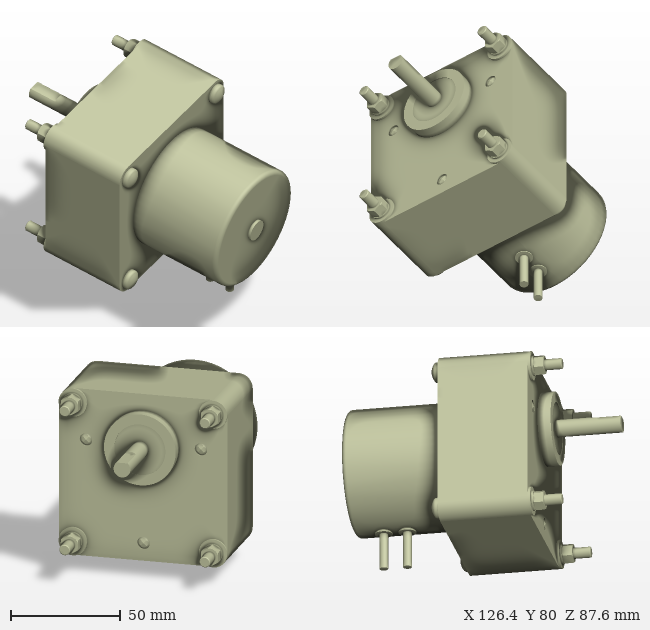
import cadquery as cq
import math


box_side = 80.0
box_depth = 42.0
bolt_offset = 33.3
box_corner_radius = box_side / 2 - bolt_offset
pad_diameter = 2 * box_corner_radius
pad_height = 1.1

shaft_z = 15.0
shaft_diameter = 8.0
shaft_length = 36.0
flat_length = 14.0
flat_depth = 1.0
flange_diameter = 34.0
flange_height = 6.1
recess_diameter = 24.3
recess_depth = 0.4

motor_diameter = 59.0
motor_length = 46.9
motor_edge_radius = 2.0
end_boss_diameter = 10.0
end_boss_height = 1.5

cable_diameter = 4.0
cable_distances = (22.0, 33.0)
cable_end_z = -47.6
grommet_diameter = 8.2
grommet_neck_diameter = 6.3
grommet_neck_z = -29.1
grommet_rim = 0.4
grommet_bottom_z = -30.6

bolt_diameter = 5.0
bolt_reach = 14.9
bolt_tip_chamfer = 0.4
washer_diameter = 9.4
washer_thickness = 0.9
nut_across_flats = 8.1
nut_thickness = 4.8
nut_face_diameter = 8.3
nut_chamfer = 0.4
head_diameter = 9.5
head_rim = 1.4
head_shoulder_height = 1.1
head_crown_diameter = 8.3
head_crown_height = 1.4

cover_screw_circle_radius = 31.5
cover_screw_angles = (30, 150, 270)
cover_screw_diameter = 6.0
cover_screw_top_diameter = 2.5
cover_screw_sink = 0.9
cover_screw_rise = 0.4
cover_screw_slope = 1 / 3


def rod(x_start, x_end, diameter, y=0.0, z=0.0):
    """Cylinder parallel to X."""
    return (
        cq.Workplane("YZ", origin=(x_start, y, z))
        .circle(diameter / 2)
        .extrude(x_end - x_start)
    )


def revolve_about_x(profile):
    """Turn a closed (x, radius) profile about the X axis."""
    return profile.close().revolve(360, (0, 0, 0), (1, 0, 0))


def rounded_block(x_start, x_end):
    """Block with the gearbox outline."""
    return (
        cq.Workplane("YZ", origin=(x_start, 0, 0))
        .rect(box_side, box_side)
        .extrude(x_end - x_start)
        .edges("|X")
        .fillet(box_corner_radius)
    )


def make_gearbox():
    """Gearbox block with round corner pads trimmed to its outline."""
    pads = (
        cq.Workplane("YZ", origin=(-pad_height, 0, 0))
        .rect(2 * bolt_offset, 2 * bolt_offset, forConstruction=True)
        .vertices()
        .circle(pad_diameter / 2)
        .extrude(pad_height)
    )
    trimmed_pads = pads.intersect(rounded_block(-pad_height, 0))
    return rounded_block(0, box_depth).union(trimmed_pads)


def make_output_shaft():
    """Recessed flange and the shaft with a flat on its +Z side."""
    flange = rod(-flange_height, 0, flange_diameter, z=shaft_z)
    recess = rod(-flange_height, recess_depth - flange_height, recess_diameter, z=shaft_z)
    shaft = rod(-shaft_length, 0, shaft_diameter, z=shaft_z)
    flat_cutter = cq.Workplane("XY").box(
        flat_length, shaft_diameter, shaft_diameter, centered=(False, True, False)
    ).translate((-shaft_length, 0, shaft_z + shaft_diameter / 2 - flat_depth))
    return flange.cut(recess).union(shaft.cut(flat_cutter))


def make_motor():
    """Motor can with a rounded rear edge and a small rear boss."""
    motor_end = box_depth + motor_length
    can = rod(box_depth, motor_end, motor_diameter).faces(">X").edges().fillet(motor_edge_radius)
    return can.union(rod(motor_end, motor_end + end_boss_height, end_boss_diameter))


def make_cable(distance):
    """Cable leaving the underside of the motor through a flared grommet."""
    x = box_depth + distance
    cable = (
        cq.Workplane("XY", origin=(x, 0, cable_end_z))
        .circle(cable_diameter / 2)
        .extrude(-cable_end_z)
    )
    grommet = (
        cq.Workplane("XZ")
        .moveTo(0, grommet_neck_z)
        .lineTo(grommet_neck_diameter / 2, grommet_neck_z)
        .lineTo(grommet_diameter / 2, grommet_bottom_z + grommet_rim)
        .lineTo(grommet_diameter / 2, grommet_bottom_z)
        .lineTo(0, grommet_bottom_z)
        .close()
        .revolve(360, (0, 0, 0), (0, 1, 0))
        .translate((x, 0, 0))
    )
    return cable.union(grommet)


def make_nut(x_back):
    """Hex nut with corners on +Z and -Z, bevelled at both ends."""
    across_corners = nut_across_flats / math.cos(math.radians(30))
    x_front = x_back - nut_thickness
    blank = (
        cq.Workplane("YZ", origin=(x_front, 0, 0))
        .polygon(6, across_corners)
        .extrude(nut_thickness)
        .rotate((0, 0, 0), (1, 0, 0), 90)
    )
    bevels = revolve_about_x(
        cq.Workplane("XY")
        .moveTo(x_front, 0)
        .lineTo(x_front, nut_face_diameter / 2)
        .lineTo(x_front + nut_chamfer, across_corners / 2)
        .lineTo(x_back - nut_chamfer, across_corners / 2)
        .lineTo(x_back, nut_face_diameter / 2)
        .lineTo(x_back, 0)
    )
    return blank.intersect(bevels)


def make_bolt_head():
    """Pan head on the X axis: straight rim, rounded shoulder and spherical crown."""
    rim_x = box_depth + head_rim
    crown_x = rim_x + head_shoulder_height
    top_x = crown_x + head_crown_height
    crown_edge = head_crown_diameter / 2
    sphere_radius = (crown_edge**2 + head_crown_height**2) / (2 * head_crown_height)
    half_angle = math.asin(crown_edge / sphere_radius) / 2
    crown_middle = (
        top_x - sphere_radius * (1 - math.cos(half_angle)),
        sphere_radius * math.sin(half_angle),
    )
    return revolve_about_x(
        cq.Workplane("XY")
        .moveTo(box_depth, 0)
        .lineTo(box_depth, head_diameter / 2)
        .lineTo(rim_x, head_diameter / 2)
        .tangentArcPoint((crown_x, crown_edge), relative=False)
        .threePointArc(crown_middle, (top_x, 0))
    )


def make_bolt():
    """Through bolt on the X axis with head, washer and nut."""
    stud = rod(-bolt_reach, box_depth, bolt_diameter).faces("<X").chamfer(bolt_tip_chamfer)
    washer_front = -pad_height - washer_thickness
    washer = rod(washer_front, -pad_height, washer_diameter)
    return stud.union(washer).union(make_nut(washer_front)).union(make_bolt_head())


def make_cover_screw_head():
    """Bevelled head on the X axis with a four-sided pyramid top, standing in its seat."""
    bevelled_head = revolve_about_x(
        cq.Workplane("XY")
        .moveTo(-cover_screw_rise, 0)
        .lineTo(-cover_screw_rise, cover_screw_top_diameter / 2)
        .lineTo(cover_screw_sink, cover_screw_diameter / 2)
        .lineTo(cover_screw_sink, 0)
    )
    roof_half_width = (cover_screw_rise + cover_screw_sink) / cover_screw_slope
    roof = (
        cq.Workplane("XY")
        .moveTo(-cover_screw_rise, 0)
        .lineTo(cover_screw_sink, roof_half_width)
        .lineTo(cover_screw_sink, -roof_half_width)
        .close()
        .extrude(cover_screw_diameter, both=True)
    )
    crossing_roof = roof.rotate((0, 0, 0), (1, 0, 0), 90)
    return bevelled_head.intersect(roof).intersect(crossing_roof)


result = make_gearbox().union(make_output_shaft()).union(make_motor())

for distance in cable_distances:
    result = result.union(make_cable(distance))

bolt = make_bolt()
for y in (-bolt_offset, bolt_offset):
    for z in (-bolt_offset, bolt_offset):
        result = result.union(bolt.translate((0, y, z)))

cover_screw_head = make_cover_screw_head()
for angle in cover_screw_angles:
    y = cover_screw_circle_radius * math.cos(math.radians(angle))
    z = cover_screw_circle_radius * math.sin(math.radians(angle))
    seat = rod(0, cover_screw_sink, cover_screw_diameter, y, z)
    result = result.cut(seat).union(cover_screw_head.translate((0, y, z)))